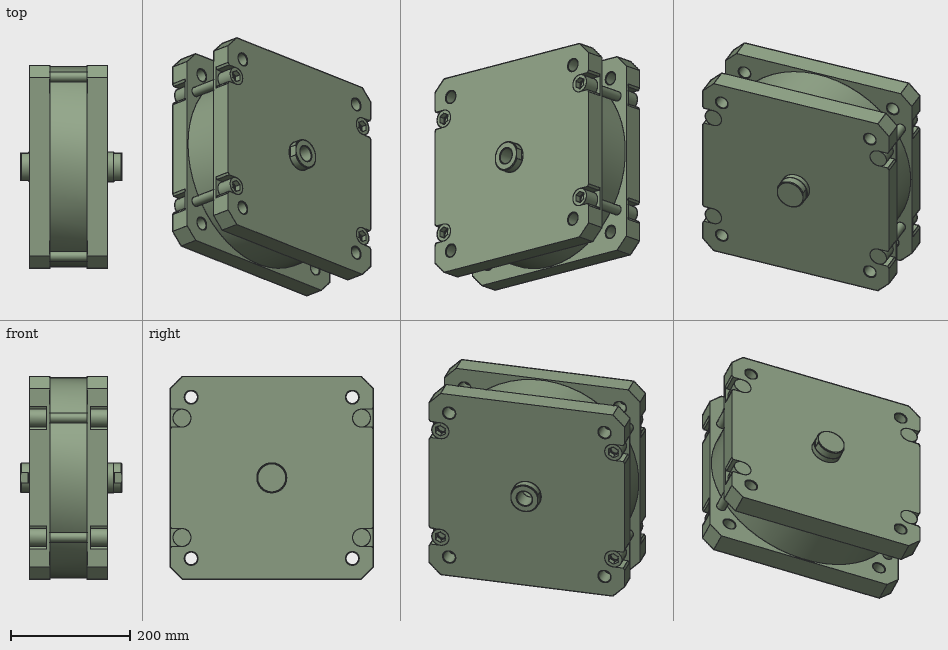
import cadquery as cq
import math

TOTAL_LENGTH = 170.0
PLATE_SIDE = 340.0
PLATE_THICKNESS = 34.5
PLATE_GAP = 62.2
LEFT_END_X = -TOTAL_LENGTH / 2
RIGHT_END_X = TOTAL_LENGTH / 2
LEFT_STUB = 15.0
LEFT_PLATE_X = LEFT_END_X + LEFT_STUB
DRUM_X = LEFT_PLATE_X + PLATE_THICKNESS
RIGHT_PLATE_X = DRUM_X + PLATE_GAP
RIGHT_FACE_X = RIGHT_PLATE_X + PLATE_THICKNESS

CORNER_CHAMFER = 20.5
MOUNT_HOLE_DIAMETER = 21.0
MOUNT_HOLE_OFFSET = 135.0
MOUNT_HOLE_CHAMFER = 1.0

ROD_Y = 150.3
ROD_Z = 100.0
ROD_DIAMETER = 16.3
HEAD_DIAMETER = 30.0
HEAD_LENGTH = 29.0
SLOT_MOUTH_DEPTH = 2.5
SLOT_MOUTH_FLARE = 4.0
SOCKET_ACROSS_FLATS = 17.0
SOCKET_DEPTH = 10.2
SOCKET_BOTTOM_DIAMETER = 14.3
SOCKET_BOTTOM_DEPTH = 1.7

DRUM_DIAMETER = 336.0

SHAFT_DIAMETER = 50.3
END_DIAMETER = 49.5
END_CHAMFER = 1.5
FLAT_OFFSET = 23.0
COLLAR_LENGTH = 9.5
CENTRE_HOLE_DIAMETER = 26.5
CENTRE_HOLE_CHAMFER = 1.0
CENTRE_HOLE_DEPTH = 34.0
DRILL_POINT_ANGLE = 118.0

SIDES = (-1, 1)
ROD_PLACES = [(y * ROD_Y, z * ROD_Z) for y in SIDES for z in SIDES]
MOUNT_HOLE_PLACES = [(y * MOUNT_HOLE_OFFSET, z * MOUNT_HOLE_OFFSET) for y in SIDES for z in SIDES]


def yz_plane(x):
    """Sketch plane across the shaft at x: local axes are Y and Z, extrusion runs toward +X."""
    return cq.Workplane("YZ", origin=(x, 0, 0))


def head_slot(start_x, y, z):
    """Round-bottomed slot for a rod head, open to the nearest Y side with a flared mouth."""
    side = math.copysign(1, y)
    edge = side * PLATE_SIDE / 2
    radius = HEAD_DIAMETER / 2
    mouth_start = edge - side * SLOT_MOUTH_DEPTH
    mouth_half = radius + SLOT_MOUTH_FLARE
    return (
        yz_plane(start_x)
        .moveTo(y, z + radius)
        .lineTo(mouth_start, z + radius)
        .lineTo(edge, z + mouth_half)
        .lineTo(edge, z - mouth_half)
        .lineTo(mouth_start, z - radius)
        .lineTo(y, z - radius)
        .threePointArc((y - side * radius, z), (y, z + radius))
        .close()
        .extrude(HEAD_LENGTH)
    )


def make_plate(start_x, slot_x):
    """Square end plate with cut corners, mounting holes, a shaft bore and rod seats."""
    plate = yz_plane(start_x).rect(PLATE_SIDE, PLATE_SIDE).extrude(PLATE_THICKNESS)
    plate = plate.edges("|X").chamfer(CORNER_CHAMFER)
    mount_holes = (
        yz_plane(start_x).pushPoints(MOUNT_HOLE_PLACES).circle(MOUNT_HOLE_DIAMETER / 2).extrude(PLATE_THICKNESS)
    )
    plate = plate.cut(mount_holes)
    plate = plate.edges("%CIRCLE").chamfer(MOUNT_HOLE_CHAMFER)
    shaft_bore = yz_plane(start_x).circle(SHAFT_DIAMETER / 2).extrude(PLATE_THICKNESS)
    rod_holes = yz_plane(start_x).pushPoints(ROD_PLACES).circle(ROD_DIAMETER / 2).extrude(PLATE_THICKNESS)
    plate = plate.cut(shaft_bore).cut(rod_holes)
    for y, z in ROD_PLACES:
        plate = plate.cut(head_slot(slot_x, y, z))
    return plate


def make_drum():
    """Round housing clamped between the plates, bored for the shaft."""
    return yz_plane(DRUM_X).circle(DRUM_DIAMETER / 2).circle(SHAFT_DIAMETER / 2).extrude(PLATE_GAP)


def make_tie_rod(y, z):
    """Rod with a flush head at both ends and a hexagon socket in the left head."""
    length = RIGHT_FACE_X - LEFT_PLATE_X
    rod = yz_plane(LEFT_PLATE_X).circle(ROD_DIAMETER / 2).extrude(length)
    for head_x in (LEFT_PLATE_X, RIGHT_FACE_X - HEAD_LENGTH):
        rod = rod.union(yz_plane(head_x).circle(HEAD_DIAMETER / 2).extrude(HEAD_LENGTH))
    across_corners = SOCKET_ACROSS_FLATS / math.cos(math.pi / 6)
    socket = (
        yz_plane(LEFT_PLATE_X)
        .transformed(rotate=(0, 0, 90))
        .polygon(6, across_corners)
        .extrude(SOCKET_DEPTH)
    )
    socket_bottom = (
        yz_plane(LEFT_PLATE_X).circle(SOCKET_BOTTOM_DIAMETER / 2).extrude(SOCKET_DEPTH + SOCKET_BOTTOM_DEPTH)
    )
    return rod.cut(socket).cut(socket_bottom).translate((0, y, z))


def shaft_flat(side, start_x, end_x):
    """Cutter for one flat on the +Y or -Y side, from a 45 degree ramp at start_x to the shaft end."""
    radius = SHAFT_DIAMETER / 2
    ramp = math.copysign(radius - FLAT_OFFSET, end_x - start_x)
    return (
        cq.Workplane("XY")
        .moveTo(start_x, side * radius)
        .lineTo(start_x + ramp, side * FLAT_OFFSET)
        .lineTo(end_x, side * FLAT_OFFSET)
        .lineTo(end_x, side * radius)
        .close()
        .extrude(radius, both=True)
    )


def make_shaft():
    """Through shaft with two flats and a chamfer at each reduced end and a drilled hole in the left end."""
    collar_end_x = RIGHT_FACE_X + COLLAR_LENGTH
    shaft = yz_plane(LEFT_END_X).circle(END_DIAMETER / 2).extrude(TOTAL_LENGTH)
    shaft = shaft.faces("<X or >X").chamfer(END_CHAMFER)
    shaft = shaft.union(yz_plane(LEFT_PLATE_X).circle(SHAFT_DIAMETER / 2).extrude(collar_end_x - LEFT_PLATE_X))
    for side in SIDES:
        shaft = shaft.cut(shaft_flat(side, LEFT_PLATE_X, LEFT_END_X))
        shaft = shaft.cut(shaft_flat(side, collar_end_x, RIGHT_END_X))
    hole_radius = CENTRE_HOLE_DIAMETER / 2
    cone_start = LEFT_END_X + CENTRE_HOLE_DEPTH
    cone_tip = cone_start + hole_radius / math.tan(math.radians(DRILL_POINT_ANGLE / 2))
    centre_hole = (
        cq.Workplane("XY")
        .moveTo(LEFT_END_X, 0)
        .lineTo(LEFT_END_X, hole_radius + CENTRE_HOLE_CHAMFER)
        .lineTo(LEFT_END_X + CENTRE_HOLE_CHAMFER, hole_radius)
        .lineTo(cone_start, hole_radius)
        .lineTo(cone_tip, 0)
        .close()
        .revolve(360, (0, 0, 0), (1, 0, 0))
    )
    return shaft.cut(centre_hole)


left_plate = make_plate(LEFT_PLATE_X, LEFT_PLATE_X)
right_plate = make_plate(RIGHT_PLATE_X, RIGHT_FACE_X - HEAD_LENGTH)
drum = make_drum()
shaft = make_shaft()
tie_rods = [make_tie_rod(y, z) for y, z in ROD_PLACES]

result = cq.Compound.makeCompound(
    [left_plate.val(), right_plate.val(), drum.val(), shaft.val(), *[rod.val() for rod in tie_rods]]
)